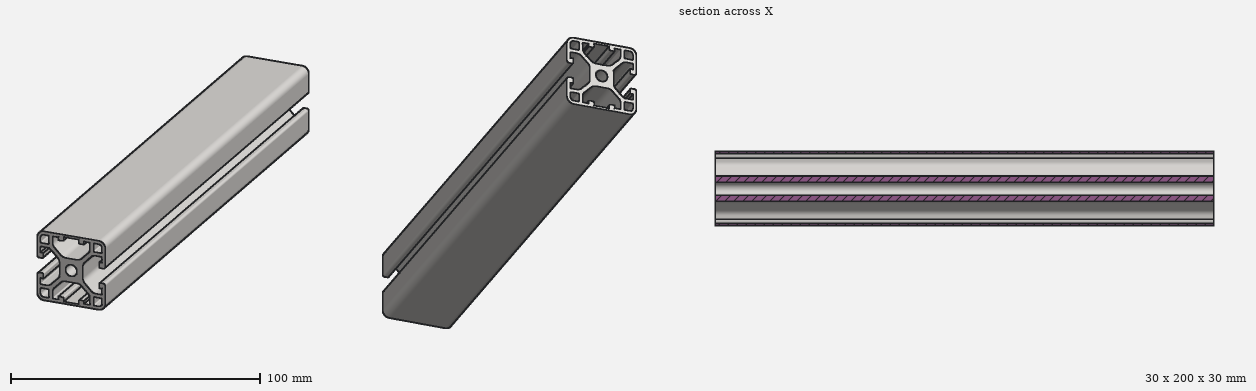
import cadquery as cq
import math

length = 200.0
width = 30.0
corner_radius = 3.0
half_width = width / 2

wall = 1.5
membrane = 1.0

mouth_half_width = 3.2
mouth_edge_radius = 1.0
lip_edge_radius = 0.7
lip_outer_half_width = 5.5
lip_depth = 2.8
slot_half_width = 8.2
core_width = 10.2
core_half_width = core_width / 2
web_half_thickness = 1.0
floor_radius = 3.0
shoulder_radius = 2.8

hollow_inner = 9.8
pocket_radius = 0.5
hollow_inner_radius = 0.5
hollow_radius = corner_radius - wall
bore_diameter = 5.0

web_angle = math.radians(45)
web_offset = web_half_thickness / math.cos(web_angle)
bend_tangent = math.tan(web_angle / 2)
floor_setback = floor_radius * bend_tangent
shoulder_setback = shoulder_radius * bend_tangent
floor_corner_x = core_half_width - web_offset
shoulder_corner_z = slot_half_width + web_offset
floor_arc_end_x = floor_corner_x + floor_setback * math.cos(web_angle)
shoulder_arc_start_x = slot_half_width - shoulder_setback * math.cos(web_angle)


def extrude_along_y(sketch):
    """Extrude an XZ sketch over the full length, centred on the origin."""
    return sketch.extrude(length / 2, both=True)


def make_slot(is_open):
    """T-slot facing +Z: open with rounded mouth edges, or closed by a thin membrane."""
    lip_bottom = half_width - lip_depth
    pocket_top = half_width - wall
    half_outline = (
        cq.Workplane("XZ")
        .moveTo(0, core_half_width)
        .lineTo(floor_corner_x - floor_setback, core_half_width)
        .tangentArcPoint((floor_arc_end_x, floor_arc_end_x + web_offset), relative=False)
        .lineTo(shoulder_arc_start_x, shoulder_arc_start_x + web_offset)
        .tangentArcPoint((slot_half_width, shoulder_corner_z + shoulder_setback), relative=False)
        .lineTo(slot_half_width, pocket_top - pocket_radius)
        .tangentArcPoint((slot_half_width - pocket_radius, pocket_top), relative=False)
        .lineTo(lip_outer_half_width, pocket_top)
        .lineTo(lip_outer_half_width, lip_bottom)
        .lineTo(mouth_half_width + lip_edge_radius, lip_bottom)
        .tangentArcPoint((mouth_half_width, lip_bottom + lip_edge_radius), relative=False)
    )
    if is_open:
        half_outline = (
            half_outline.lineTo(mouth_half_width, half_width - mouth_edge_radius)
            .tangentArcPoint((mouth_half_width + mouth_edge_radius, half_width), relative=False)
            .lineTo(0, half_width)
        )
    else:
        half_outline = (
            half_outline.lineTo(mouth_half_width, half_width - membrane)
            .lineTo(0, half_width - membrane)
        )
    return extrude_along_y(half_outline.mirrorY())


def make_hollow():
    """Hollow in the +X +Z corner, rounded most at its outer edge."""
    hollow_outer = half_width - wall
    size = hollow_outer - hollow_inner
    centre = (hollow_inner + hollow_outer) / 2
    box = extrude_along_y(cq.Workplane("XZ").center(centre, centre).rect(size, size))
    box = box.edges("|Y and >X and >Z").fillet(hollow_radius)
    return box.edges("|Y and (<X or <Z)").fillet(hollow_inner_radius)


def turn(shape, angle):
    """Turn a shape about the long axis of the profile."""
    return shape.rotate((0, 0, 0), (0, 1, 0), angle)


profile = extrude_along_y(cq.Workplane("XZ").rect(width, width)).edges("|Y").fillet(corner_radius)

closed_slot = make_slot(is_open=False)
open_slot = make_slot(is_open=True)
for angle in (0, 180):
    profile = profile.cut(turn(closed_slot, angle))
    profile = profile.cut(turn(open_slot, angle + 90))

hollow = make_hollow()
for angle in (0, 90, 180, 270):
    profile = profile.cut(turn(hollow, angle))

bore = extrude_along_y(cq.Workplane("XZ").circle(bore_diameter / 2))
result = profile.cut(bore)